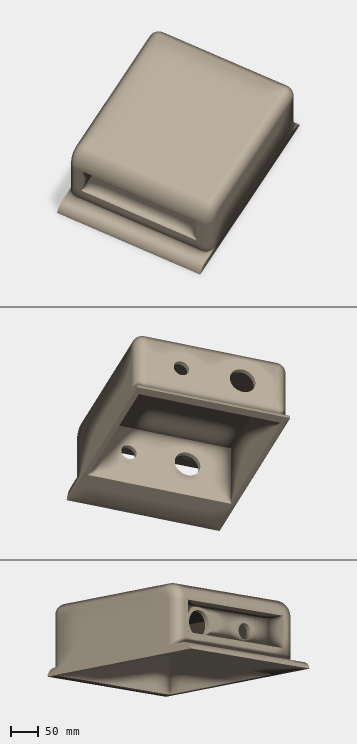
import cadquery as cq

width = 300.0
length = 390.0
height = 135.0

plate_height = 15.0
plate_round = 20.0

front_margin = 40.0
rear_margin = 10.0
edge_radius = 20.0
front_top_radius = 34.0
wall = 10.0

window_width = 240.0
window_bottom = 40.0
window_top = height - front_top_radius
window_depth = 40.0

hole_height = 70.0
hole_offset = 60.0
small_diameter = 30.0
large_diameter = 50.0
large_hole_shift = 5.0

body_front = front_margin - length / 2
body_rear = length / 2 - rear_margin
cavity_front = body_front + window_depth + wall
cavity_rear = body_rear - wall


def box(x_size, y_min, y_max, z_min, z_max):
    """Box centred on X between the given Y and Z limits."""
    return cq.Workplane("XY").box(
        x_size, y_max - y_min, z_max - z_min, centered=(True, False, False)
    ).translate((0, y_min, z_min))


def make_plate():
    """Plate whose ends curve down from the flat top to a sharp bottom edge."""
    half = length / 2
    arc_radius = (plate_round**2 + plate_height**2) / (2 * plate_height)
    return (
        cq.Workplane("YZ")
        .moveTo(-half, 0)
        .lineTo(half, 0)
        .radiusArc((half - plate_round, plate_height), -arc_radius)
        .lineTo(plate_round - half, plate_height)
        .radiusArc((-half, 0), -arc_radius)
        .close()
        .extrude(width / 2, both=True)
    )


def make_housing():
    """Rounded housing with a larger radius along its front top edge."""
    housing = box(width, body_front, body_rear, 0, height)
    housing = housing.faces(">Z").edges("<Y").fillet(front_top_radius)
    housing = housing.faces(">Y").edges(">Z").fillet(edge_radius)
    return housing.faces("<X or >X").edges("not <Z").fillet(edge_radius)


def hole(x, diameter, y_min, y_max):
    """Cylinder along Y for a hole at the common hole height."""
    return (
        cq.Workplane("XZ", origin=(x, y_min, hole_height))
        .circle(diameter / 2)
        .extrude(y_min - y_max)
    )


window = box(window_width, body_front, body_front + window_depth, window_bottom, window_top)
cavity = box(width - 2 * wall, cavity_front, cavity_rear, 0, height - wall)

result = make_plate().union(make_housing()).cut(window).cut(cavity)

hole_start = body_front + window_depth / 2
cavity_middle = (cavity_front + cavity_rear) / 2
hole_end = length / 2
result = (
    result
    .cut(hole(hole_offset, small_diameter, hole_start, hole_end))
    .cut(hole(large_hole_shift - hole_offset, large_diameter, hole_start, cavity_middle))
    .cut(hole(-hole_offset, large_diameter, cavity_middle, hole_end))
)